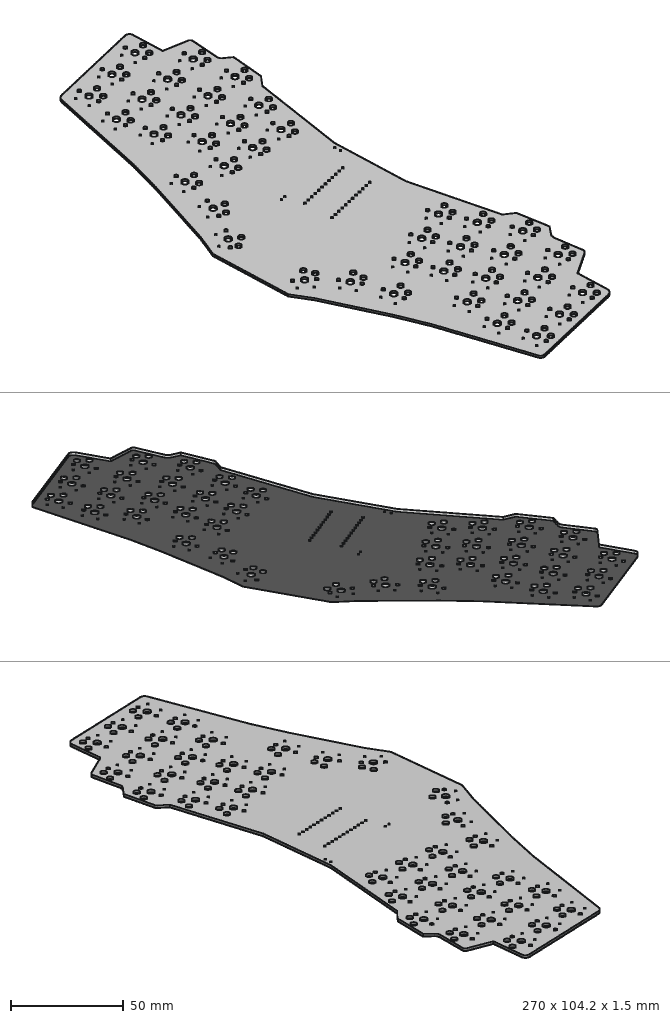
import cadquery as cq
import math

length = 270.0
width = 104.2
thickness = 1.5
half_length = length / 2
half_width = width / 2
side_top = 36.2
side_bottom = -15.0
end_corner_radius = 2.5
step_corner_radius = 1.5
valley_radius = 3.2

step_valley = (93.0, 47.5)
outer_step_corner = (110.2, 49.5)
inner_step_corner = (71.3, 50.0)

center_diameter = 3.5
contact_diameter = 3.0
peg_diameter = 1.7
diode_diameter = 0.9
contact_points = [(0, 6.0), (5.0, 3.8)]
peg_reach = 5.5
diode_reach = 3.8
diode_drop = 4.9

key_pitch = 17.0
key_columns = [
    (-125.0, -6.2, 0, 3),
    (-106.5, -10.5, -5, 4),
    (-87.5, -7.8, -8, 4),
    (-67.5, 1.4, -11, 3),
    (-50.5, -4.9, -11, 3),
]

thumb_keys = [
    (-58.3, -23.5, -6),
    (-38.3, -29.2, -24.5),
    (-21.3, -40.5, -42.5),
]

pin_diameter = 1.0
pin_count = 12
pin_pitch = 2.55
pin_row_spacing = 15.0
pin_top = 26.0

wire_diameter = 0.75
top_pair_x = -18.0
top_pair_y = 34.0
top_pair_spacing = 3.2
side_pair_x = -17.3
side_pair_y = -4.0
side_pair_spacing = 2.5


def drill(board, points, diameter):
    """Cut round holes through the board at the given points."""
    holes = cq.Workplane("XY").pushPoints(points).circle(diameter / 2).extrude(thickness)
    return board.cut(holes)


def place(points, x, y, tilt):
    """Turn points by tilt degrees about the origin, then move them to (x, y)."""
    c = math.cos(math.radians(tilt))
    s = math.sin(math.radians(tilt))
    return [(x + c * px - s * py, y + s * px + c * py) for px, py in points]


def round_corner(board, x, y, radius):
    """Fillet the vertical edge at (x, y) and the mirrored one at (-x, y)."""
    for corner_x in (-x, x):
        nearest = cq.selectors.NearestToPointSelector((corner_x, y, thickness / 2))
        board = board.edges("|Z").edges(nearest).fillet(radius)
    return board


def make_board():
    """Plate symmetric about X = 0; its right half runs from the middle top to the middle bottom."""
    right_edge = [
        (20.0, side_top),
        (67.0, 45.4),
        inner_step_corner,
        (88.3, half_width),
        step_valley,
        outer_step_corner,
        (115.8, side_top),
        (half_length, side_top),
        (half_length, side_bottom),
        (83.2, -28.5),
        (66.0, -34.3),
        (31.9, -47.0),
        (21.0, -half_width),
    ]
    left_edge = [(-x, y) for x, y in reversed(right_edge)]
    board = cq.Workplane("XY").polyline(right_edge + left_edge).close().extrude(thickness)
    board = round_corner(board, *inner_step_corner, step_corner_radius)
    board = round_corner(board, *outer_step_corner, step_corner_radius)
    board = round_corner(board, *step_valley, valley_radius)
    board = round_corner(board, half_length, side_top, end_corner_radius)
    return round_corner(board, half_length, side_bottom, end_corner_radius)


def left_keys():
    """All keys of the left half as (x, y, tilt)."""
    keys = list(thumb_keys)
    for x, y, tilt, count in key_columns:
        column = [(0, row * key_pitch) for row in range(count)]
        keys += [(key_x, key_y, tilt) for key_x, key_y in place(column, x, y, tilt)]
    return keys


def cut_keys(board):
    """The key positions are mirrored to the right half; the footprint itself is not."""
    keys = left_keys()
    keys += [(-x, y, -tilt) for x, y, tilt in keys]
    footprint = [
        ([(0, 0)], center_diameter),
        (contact_points, contact_diameter),
        ([(-peg_reach, 0), (peg_reach, 0)], peg_diameter),
        ([(-diode_reach, -diode_drop), (diode_reach, -diode_drop)], diode_diameter),
    ]
    for points, diameter in footprint:
        holes = [hole for key in keys for hole in place(points, *key)]
        board = drill(board, holes, diameter)
    return board


def cut_controller(board):
    pins = []
    for pin_x in (-pin_row_spacing / 2, pin_row_spacing / 2):
        pins += [(pin_x, pin_top - i * pin_pitch) for i in range(pin_count)]
    return drill(board, pins, pin_diameter)


def cut_wire_holes(board):
    holes = [
        (top_pair_x, top_pair_y),
        (top_pair_x + top_pair_spacing, top_pair_y),
        (side_pair_x, side_pair_y),
        (side_pair_x, side_pair_y - side_pair_spacing),
    ]
    return drill(board, holes, wire_diameter)


result = cut_wire_holes(cut_controller(cut_keys(make_board())))